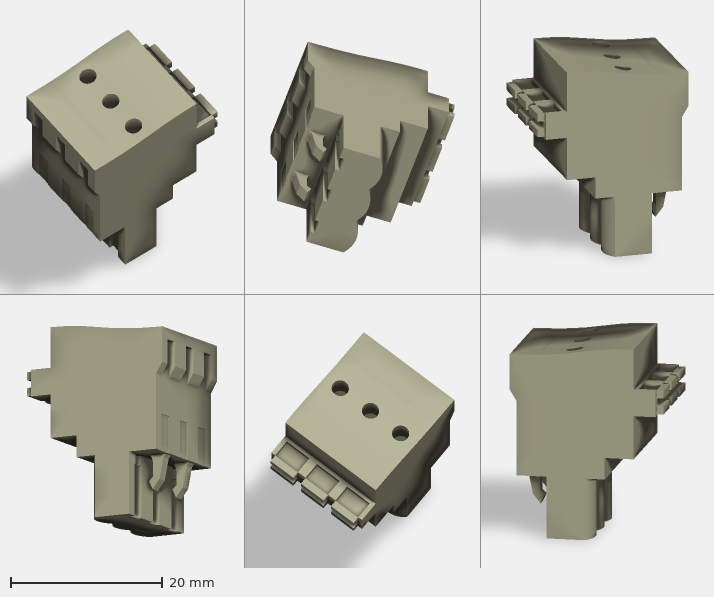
import cadquery as cq
import math


pole_count = 3
width = 15.25
pitch = width / pole_count
pole_xs = [(i - (pole_count - 1) / 2) * pitch for i in range(pole_count)]

total_height = 26.25
front_top_z = 24.8
body_bottom_z = 8.37
rear_step_z = 11.3
shelf_bottom_z = 17.2
shelf_top_z = 20.78

lower_front_y = 0.9
plug_front_y = 4.99
plug_rear_y = 10.1
rear_step_y = 12.83
rear_y = 16.75
shelf_rear_y = 19.68
tab_rear_y = 20.65

top_rear_lip = 0.3
top_front_lip = lower_front_y
top_bend_y = 9.9

overhang_bottom_z = 20.0
overhang_foot_z = 18.53
front_slot_width = 2.07
upper_slot_top_z = 23.3
lower_slot_top_z = 13.35
lower_slot_depth = 0.1

screw_hole_diameter = 2.28
screw_hole_y = 8.25
screw_hole_bottom_z = 21

rear_bulge = 1.0
groove_width = 1.85
groove_neck_width = 1.29
groove_neck_bottom_z = 7.03
groove_depth = 0.6

latch_width = 1.47
latch_spacing = 6.48
latch_front_root = (1.45, body_bottom_z)
latch_front_shoulder = (1.78, 7.95)
latch_front_knee = (2.35, 5.1)
latch_tip = (3.4, 3.8)
latch_barb = (3.9, 4.93)
latch_neck_y = 3.33
latch_neck_bottom_z = 5.45
latch_neck_top_z = 7.27
latch_rear_curve_mid = (3.46, 7.82)
latch_rear_root = (3.73, body_bottom_z)

tab_width = 3.8
tab_front_y = 17.21
tab_top_z = 20.68
tab_bottom_z = 17.45
tab_floor_z = 20.07
tab_slot_height = 1.08
tab_slot_fillet = 0.25


def box(x_center, x_size, y_range, z_range):
    """Block centred on x_center between the given Y and Z limits."""
    return (
        cq.Workplane("XY")
        .box(x_size, y_range[1] - y_range[0], z_range[1] - z_range[0], centered=(True, False, False))
        .translate((x_center, y_range[0], z_range[0]))
    )


def side_profile(x_size):
    """Workplane in the YZ plane, placed so that an extrusion by x_size is centred on X = 0."""
    return cq.Workplane("YZ", origin=(-x_size / 2, 0, 0))


def s_curve_points():
    """Middle of the rear arc, the bend, and the middle of the front arc of the sloping top."""
    rear_run = rear_y - top_rear_lip - top_bend_y
    front_run = top_bend_y - top_front_lip
    total_drop = total_height - front_top_z
    turn = 2 * math.atan(total_drop / (rear_run + front_run))
    rear_radius = rear_run / math.sin(turn)
    front_radius = front_run / math.sin(turn)
    half_drop = 1 - math.cos(turn / 2)
    rear_mid = (
        top_bend_y + rear_run - rear_radius * math.sin(turn / 2),
        total_height - rear_radius * half_drop,
    )
    bend = (top_bend_y, total_height - rear_radius * (1 - math.cos(turn)))
    front_mid = (
        top_front_lip + front_radius * math.sin(turn / 2),
        front_top_z + front_radius * half_drop,
    )
    return rear_mid, bend, front_mid


def make_body():
    """Stepped body with the rear shelf, the sloping top and the front overhang."""
    rear_mid, bend, front_mid = s_curve_points()
    return (
        side_profile(width)
        .moveTo(lower_front_y, body_bottom_z)
        .lineTo(rear_step_y, body_bottom_z)
        .lineTo(rear_step_y, rear_step_z)
        .lineTo(rear_y, rear_step_z)
        .lineTo(rear_y, shelf_bottom_z)
        .lineTo(shelf_rear_y, shelf_bottom_z)
        .lineTo(shelf_rear_y, shelf_top_z)
        .lineTo(rear_y, shelf_top_z)
        .lineTo(rear_y, total_height)
        .lineTo(rear_y - top_rear_lip, total_height)
        .threePointArc(rear_mid, bend)
        .threePointArc(front_mid, (top_front_lip, front_top_z))
        .lineTo(0, front_top_z)
        .lineTo(0, overhang_bottom_z)
        .lineTo(lower_front_y, overhang_foot_z)
        .close()
        .extrude(width)
    )


def make_plug():
    """Plug with a flat grooved front and one shallow round bulge per pole at the rear."""
    outline = cq.Workplane("XY").moveTo(-width / 2, plug_rear_y)
    for x in pole_xs:
        outline = outline.threePointArc((x, plug_rear_y + rear_bulge), (x + pitch / 2, plug_rear_y))
    plug = (
        outline.lineTo(width / 2, plug_front_y)
        .lineTo(-width / 2, plug_front_y)
        .close()
        .extrude(body_bottom_z)
    )
    groove_y = (plug_front_y, plug_front_y + groove_depth)
    for x in pole_xs:
        plug = plug.cut(box(x, groove_width, groove_y, (0, groove_neck_bottom_z)))
        plug = plug.cut(box(x, groove_neck_width, groove_y, (groove_neck_bottom_z, body_bottom_z)))
    return plug


def make_latch(x):
    """Hooked latch finger, curved where its rear side leaves the body."""
    return (
        side_profile(latch_width)
        .moveTo(*latch_front_root)
        .lineTo(*latch_front_shoulder)
        .lineTo(*latch_front_knee)
        .lineTo(*latch_tip)
        .lineTo(*latch_barb)
        .lineTo(latch_neck_y, latch_neck_bottom_z)
        .lineTo(latch_neck_y, latch_neck_top_z)
        .threePointArc(latch_rear_curve_mid, latch_rear_root)
        .close()
        .extrude(latch_width)
        .translate((x, 0, 0))
    )


def make_housing():
    """Body, plug and latches in one piece, with the openings of every pole."""
    housing = make_body().union(make_plug())
    for side in (-1, 1):
        housing = housing.union(make_latch(side * latch_spacing / 2))
    for x in pole_xs:
        upper_slot = box(x, front_slot_width, (0, lower_front_y), (overhang_foot_z, upper_slot_top_z))
        lower_slot = box(
            x,
            front_slot_width,
            (lower_front_y, lower_front_y + lower_slot_depth),
            (body_bottom_z, lower_slot_top_z),
        )
        screw_hole = (
            cq.Workplane("XY", origin=(x, screw_hole_y, screw_hole_bottom_z))
            .circle(screw_hole_diameter / 2)
            .extrude(total_height - screw_hole_bottom_z)
        )
        tab_pocket = box(x, tab_width, (tab_front_y, shelf_rear_y), (tab_bottom_z, shelf_top_z))
        housing = housing.cut(upper_slot).cut(lower_slot).cut(screw_hole).cut(tab_pocket)
    return housing.solids()


def make_tab(x):
    """Tab with a lowered floor in front of its rear rim and a slot along X across its rear."""
    tab = box(x, tab_width, (tab_front_y, tab_rear_y), (tab_bottom_z, tab_top_z))
    tab = tab.cut(box(x, tab_width, (tab_front_y, shelf_rear_y), (tab_floor_z, tab_top_z)))
    slot_middle_z = (tab_bottom_z + tab_top_z) / 2
    slot = box(
        x,
        tab_width,
        (shelf_rear_y, tab_rear_y),
        (slot_middle_z - tab_slot_height / 2, slot_middle_z + tab_slot_height / 2),
    )
    slot = slot.edges("|X and <Y").fillet(tab_slot_fillet)
    return tab.cut(slot).solids()


housing = make_housing()
tabs = [make_tab(x) for x in pole_xs]

result = cq.Compound.makeCompound([housing.val(), *[tab.val() for tab in tabs]])